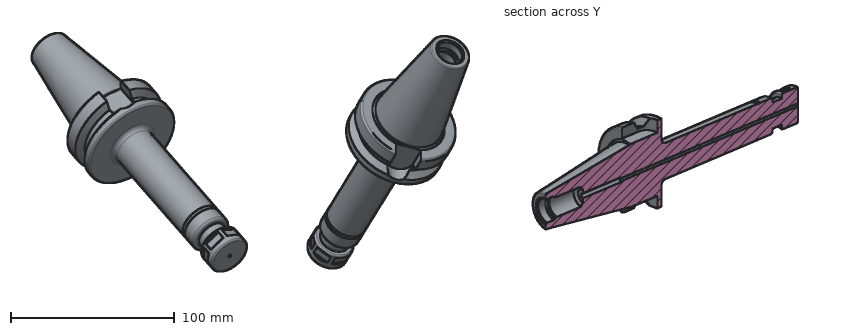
import cadquery as cq
import math

total_length = 200.5
gauge_plane = 65.3
flange_start = 67.3
flange_end = 92.4
shank_end = 180.4
nut_start = 187.4

gauge_radius = 22.2
taper_slope = 7 / 48
taper_tip_radius = gauge_radius - taper_slope * gauge_plane
tip_fillet = 0.8

relief_flare_length = 0.6
relief_flare_radius = 23.8

flange_radius = 31.5
flange_fillet = 1.2
groove_floor_start = 79.8
groove_floor_end = 84.2
groove_radius = 26.5
groove_half_angle = 30.0
groove_flare = (flange_radius - groove_radius) * math.tan(math.radians(groove_half_angle))

key_width = 16.5
key_floor = 22.6
key_end = 88.5

shank_radius = 13.0
shank_root_fillet = 3.0
shank_end_fillet = 2.0
band_start = 167.7
band_width = 2.5
band_depth = 0.1
neck_diameter = 19.0
neck_radius = neck_diameter / 2
nut_radius = shank_radius
nut_fillet = 1.2

flat_count = 6
flat_start = 189.8
flat_length = 5.5
across_flats = 23.8
flat_distance = across_flats / 2
flat_wall_angle = 30.0

mouth_radius = 9.2
bore_radius = 8.2
bore_depth = 6.6
step_diameter = 14.2
step_radius = step_diameter / 2
step_length = 1.0
thread_radius = 7.0
thread_depth = 28.0
drill_flat_radius = 4.5
drill_cone_length = 1.5
coolant_radius = 1.5
coolant_step = 60.1
outlet_radius = 0.86


def make_body():
    """Revolve the outer profile of the holder and round its rims."""
    band_end = band_start + band_width
    band_radius = shank_radius - band_depth
    relief_start = flange_start - relief_flare_length
    profile = (
        cq.Workplane("XY")
        .moveTo(0, 0)
        .lineTo(0, taper_tip_radius)
        .lineTo(gauge_plane, gauge_radius)
        .lineTo(relief_start, gauge_radius)
        .lineTo(flange_start, relief_flare_radius)
        .lineTo(flange_start, flange_radius)
        .lineTo(groove_floor_start - groove_flare, flange_radius)
        .lineTo(groove_floor_start, groove_radius)
        .lineTo(groove_floor_end, groove_radius)
        .lineTo(groove_floor_end + groove_flare, flange_radius)
        .lineTo(flange_end, flange_radius)
        .lineTo(flange_end, shank_radius)
        .lineTo(band_start, shank_radius)
        .lineTo(band_start, band_radius)
        .lineTo(band_end, band_radius)
        .lineTo(band_end, shank_radius)
        .lineTo(shank_end, shank_radius)
        .lineTo(shank_end, neck_radius)
        .lineTo(nut_start, neck_radius)
        .lineTo(nut_start, nut_radius)
        .lineTo(total_length, nut_radius)
        .lineTo(total_length, 0)
        .close()
    )
    body = profile.revolve(360, (0, 0, 0), (1, 0, 0))
    body = round_rim(body, 0, taper_tip_radius, tip_fillet)
    body = round_rim(body, flange_start, flange_radius, flange_fillet)
    body = round_rim(body, flange_end, flange_radius, flange_fillet)
    body = round_rim(body, flange_end, shank_radius, shank_root_fillet)
    body = round_rim(body, shank_end, shank_radius, shank_end_fillet)
    body = round_rim(body, nut_start, nut_radius, nut_fillet)
    return round_rim(body, total_length, nut_radius, nut_fillet)


def round_rim(body, station, rim_radius, fillet_radius):
    """Fillet the circular edge of the given radius at an X station."""
    margin = 0.02
    reach = rim_radius + margin
    in_plane = cq.selectors.BoxSelector(
        (station - margin, -reach, -reach), (station + margin, reach, reach), boundingbox=True
    )
    rims = body.edges("%CIRCLE").edges(in_plane)
    return rims.filter(lambda edge: abs(edge.radius() - rim_radius) < margin).fillet(fillet_radius)


def make_bore():
    """Stepped drawbar bore narrowing to the coolant passage, open at both ends."""
    mouth_chamfer = mouth_radius - bore_radius
    step_start = bore_depth + bore_radius - step_radius
    step_end = step_start + step_length
    thread_start = step_end + step_radius - thread_radius
    drill_flat = thread_depth + drill_cone_length
    profile = (
        cq.Workplane("XY")
        .moveTo(0, 0)
        .lineTo(0, mouth_radius)
        .lineTo(mouth_chamfer, bore_radius)
        .lineTo(bore_depth, bore_radius)
        .lineTo(step_start, step_radius)
        .lineTo(step_end, step_radius)
        .lineTo(thread_start, thread_radius)
        .lineTo(thread_depth, thread_radius)
        .lineTo(drill_flat, drill_flat_radius)
        .lineTo(drill_flat, coolant_radius)
        .lineTo(coolant_step, coolant_radius)
        .lineTo(coolant_step, outlet_radius)
        .lineTo(total_length, outlet_radius)
        .lineTo(total_length, 0)
        .close()
    )
    return profile.revolve(360, (0, 0, 0), (1, 0, 0))


def make_keyway():
    """Round-ended drive slot in the top of the flange, open toward the taper."""
    half_width = key_width / 2
    arc_center = key_end - half_width
    return (
        cq.Workplane("XY", origin=(0, 0, key_floor))
        .moveTo(gauge_plane, -half_width)
        .lineTo(arc_center, -half_width)
        .threePointArc((key_end, 0), (arc_center, half_width))
        .lineTo(gauge_plane, half_width)
        .close()
        .extrude(flange_radius)
    )


def make_wrench_flat():
    """Flat pocket on the +Y side of the nut with sloped end walls."""
    rise = nut_radius - flat_distance
    run = rise * math.tan(math.radians(flat_wall_angle))
    flat_end = flat_start + flat_length
    return (
        cq.Workplane("XY")
        .moveTo(flat_start, flat_distance)
        .lineTo(flat_end, flat_distance)
        .lineTo(flat_end + run, nut_radius)
        .lineTo(flat_start - run, nut_radius)
        .close()
        .extrude(nut_radius, both=True)
    )


result = make_body().cut(make_bore())

for key_angle in (0, 180):
    result = result.cut(make_keyway().rotate((0, 0, 0), (1, 0, 0), key_angle))

for flat_index in range(flat_count):
    flat_angle = flat_index * 360 / flat_count
    result = result.cut(make_wrench_flat().rotate((0, 0, 0), (1, 0, 0), flat_angle))